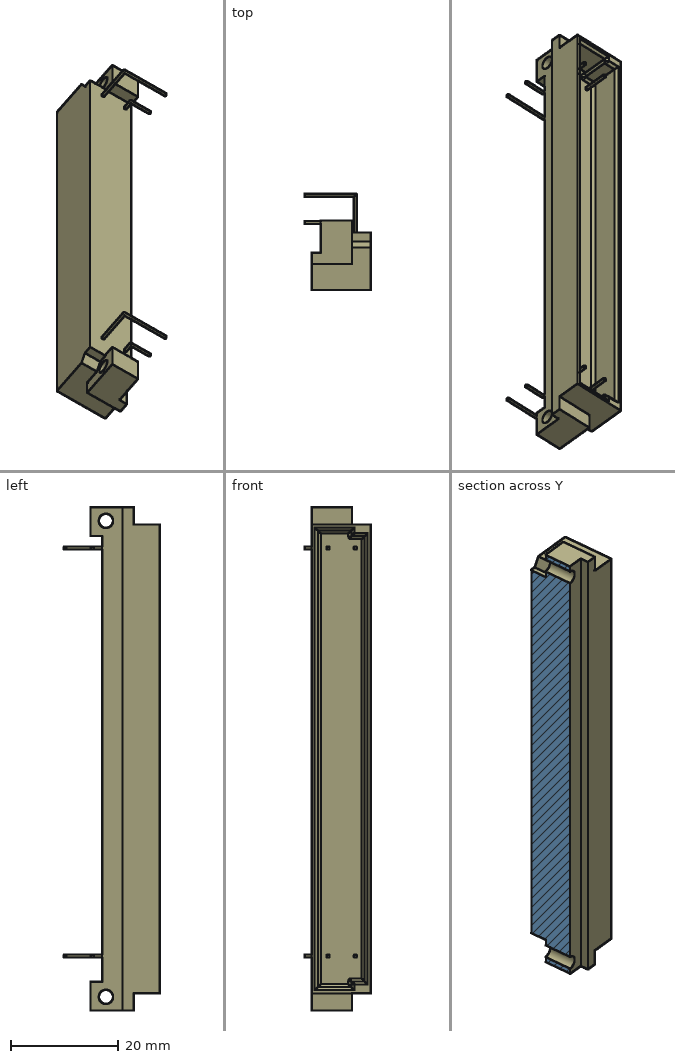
import cadquery as cq


OVERALL_WIDTH = 12.4
OVERALL_DEPTH = 18.02

SHELL_WIDTH = 11.1
SHELL_DEPTH = 10.8
SHELL_HALF_LENGTH = 43.8
BACK_STEP_WIDTH = 1.7
BACK_STEP_Y = 7.0
END_RELIEF_SLOPE_Y = 8.0
END_RELIEF_END_Y = 9.1
END_RELIEF_HEIGHT = 1.9

EAR_HALF_LENGTH = 47.0
EAR_INNER_Z = 41.6
EAR_WIDTH = 7.6
EAR_FRONT_Y = 4.9
EAR_BACK_Y = 13.0
HOLE_DIAMETER = 2.6
HOLE_Y = 10.1
HOLE_Z = 44.45

RIM_WALL = 0.6
MOUTH_HALF_LENGTH = SHELL_HALF_LENGTH - RIM_WALL
KEYED_HALF_LENGTH = 42.15
KEY_STEP_X = 8.0
CAVITY_CHAMFER = 0.57
CAVITY_DEPTH = 6.3

PITCH = 2.54
ROW_SPACING = 2 * PITCH
INNER_ROW_X = 3.1
UPPER_PIN_Z = 15.5 * PITCH
PIN_SPAN = 30 * PITCH
PIN_DIAMETER = 0.6
PIN_TIP_Y = 1.3
TAIL_END_X = SHELL_WIDTH - OVERALL_WIDTH
OUTER_TAIL_Y = OVERALL_DEPTH - PIN_DIAMETER / 2


def box(x_range, y_range, z_range):
    """Box between the given limits along each axis."""
    low, high = zip(x_range, y_range, z_range)
    size = [b - a for a, b in zip(low, high)]
    return cq.Workplane("XY").box(*size, centered=False).translate(low)


def make_shell():
    relieved_half_length = SHELL_HALF_LENGTH - END_RELIEF_HEIGHT
    outline = [
        (0, SHELL_HALF_LENGTH),
        (END_RELIEF_SLOPE_Y, SHELL_HALF_LENGTH),
        (END_RELIEF_END_Y, relieved_half_length),
        (SHELL_DEPTH, relieved_half_length),
    ]
    outline += [(y, -z) for y, z in reversed(outline)]
    return cq.Workplane("YZ").polyline(outline).close().extrude(SHELL_WIDTH)


def make_ear(side):
    """Mounting ear at the +Z end (side = 1) or the -Z end (side = -1)."""
    z_range = sorted((side * EAR_INNER_Z, side * EAR_HALF_LENGTH))
    return box((0, EAR_WIDTH), (EAR_FRONT_Y, EAR_BACK_Y), z_range)


def make_mounting_hole(side):
    centre = cq.Workplane("YZ").center(HOLE_Y, side * HOLE_Z)
    return centre.circle(HOLE_DIAMETER / 2).extrude(EAR_WIDTH)


def make_back_step():
    """Cutter for the step along the -X side of the back."""
    z_range = (-EAR_HALF_LENGTH, EAR_HALF_LENGTH)
    return box((0, BACK_STEP_WIDTH), (BACK_STEP_Y, EAR_BACK_Y), z_range)


def cavity_layer(inset, start_y, depth, taper=0):
    """Slice of the cavity: the stepped mouth outline moved inward by inset."""
    left = RIM_WALL + inset
    right = SHELL_WIDTH - RIM_WALL - inset
    step = KEY_STEP_X - inset
    tall = MOUTH_HALF_LENGTH - inset
    short = KEYED_HALF_LENGTH - inset
    outline = [(left, tall), (step, tall), (step, short), (right, short)]
    outline += [(x, -z) for x, z in reversed(outline)]
    plane = cq.Plane(origin=(0, start_y, 0), xDir=(1, 0, 0), normal=(0, -1, 0))
    return cq.Workplane(plane).polyline(outline).close().extrude(-depth, taper=taper)


def make_cavity():
    straight_depth = CAVITY_DEPTH - CAVITY_CHAMFER
    mouth = cavity_layer(0, 0, CAVITY_CHAMFER, taper=45)
    walls = cavity_layer(CAVITY_CHAMFER, 0, straight_depth)
    floor = cavity_layer(CAVITY_CHAMFER, straight_depth, CAVITY_CHAMFER, taper=45)
    return mouth.union(walls).union(floor)


def make_pin(x, tail_y, z):
    """Round pin along Y, bent at tail_y so that its tail runs toward -X."""
    radius = PIN_DIAMETER / 2
    contact = cq.Workplane("XZ", origin=(x, PIN_TIP_Y, z)).circle(radius).extrude(PIN_TIP_Y - tail_y)
    bend = cq.Workplane("XY").sphere(radius).translate((x, tail_y, z))
    tail = cq.Workplane("YZ", origin=(TAIL_END_X, tail_y, z)).circle(radius).extrude(x - TAIL_END_X)
    return contact.union(bend).union(tail)


result = make_shell()
for side in (1, -1):
    result = result.union(make_ear(side))
result = result.cut(make_back_step()).cut(make_cavity())
for side in (1, -1):
    result = result.cut(make_mounting_hole(side))
for pin_z in (UPPER_PIN_Z, UPPER_PIN_Z - PIN_SPAN):
    for row in (0, 1):
        row_x = INNER_ROW_X + row * ROW_SPACING
        row_tail_y = OUTER_TAIL_Y - (1 - row) * ROW_SPACING
        result = result.union(make_pin(row_x, row_tail_y, pin_z))